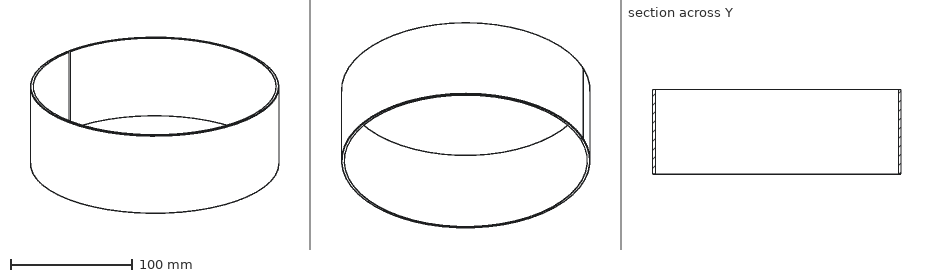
import cadquery as cq

outer_diameter = 205.0
wall_thickness = 2.5
height = 70.0
outer_chamfer = 0.5
inner_chamfer = 0.2
slit_angle = 1.0

outer_radius = outer_diameter / 2
inner_radius = outer_radius - wall_thickness


def make_wall_section():
    """Radial section of the wall at the -X side, with all four corners chamfered."""
    return (
        cq.Workplane("XZ")
        .moveTo(-outer_radius + outer_chamfer, 0)
        .lineTo(-outer_radius, outer_chamfer)
        .lineTo(-outer_radius, height - outer_chamfer)
        .lineTo(-outer_radius + outer_chamfer, height)
        .lineTo(-inner_radius - inner_chamfer, height)
        .lineTo(-inner_radius, height - inner_chamfer)
        .lineTo(-inner_radius, inner_chamfer)
        .lineTo(-inner_radius - inner_chamfer, 0)
        .close()
    )


def make_split_ring():
    """Sweep the section counterclockwise from the -X side, just short of a full turn.

    The remaining angle is a narrow full-height slit with radial end faces.
    """
    axis_start = (0, 0)
    axis_end = (0, 1)
    return make_wall_section().revolve(360 - slit_angle, axis_start, axis_end)


result = make_split_ring()